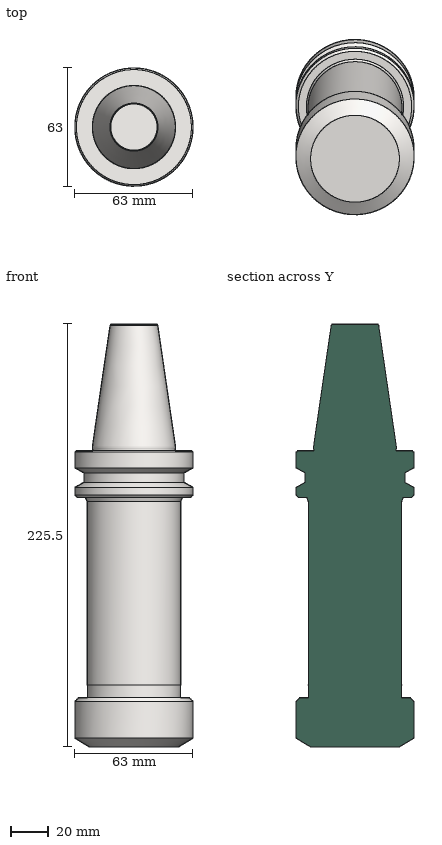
import cadquery as cq

total_length = 225.5

gauge_radius = 44.5 / 2
taper_length = 65.4
taper_per_side = 7 / 48
tip_chamfer_height = 1.0
tip_chamfer_width = 0.5
relief_depth = 0.11
relief_length = 2.0
relief_land = 0.7
relief_slope = 0.7

flange_radius = 63.0 / 2
flange_top_chamfer = 1.0
upper_rim_length = 9.2
groove_radius = 53.5 / 2
groove_flank_length = 2.7
groove_floor_length = 5.0
flange_length = 25.0
flange_bottom_chamfer = 1.4

body_radius = 50.0 / 2
collar_radius = 51.8 / 2
collar_length = 2.0
neck_length = 6.8
neck_step = 0.11

nut_radius = 63.0 / 2
nut_length = 26.4
nut_top_chamfer = 2.0
nose_radius = 47.3 / 2
nose_length = 4.7

gauge_z = total_length - taper_length
flange_top_z = gauge_z - relief_length
groove_top_z = flange_top_z - upper_rim_length
floor_top_z = groove_top_z - groove_flank_length
floor_bottom_z = floor_top_z - groove_floor_length
groove_bottom_z = floor_bottom_z - groove_flank_length
flange_bottom_z = flange_top_z - flange_length
neck_top_z = nut_length + neck_length

tip_edge_radius = gauge_radius - (taper_length - tip_chamfer_height) * taper_per_side
relief_radius = gauge_radius - relief_depth
neck_radius = body_radius - neck_step

shank_points = [
    (0, total_length),
    (tip_edge_radius - tip_chamfer_width, total_length),
    (tip_edge_radius, total_length - tip_chamfer_height),
    (gauge_radius, gauge_z),
    (gauge_radius, gauge_z - relief_land),
    (relief_radius, gauge_z - relief_land - relief_slope),
    (relief_radius, flange_top_z),
]
flange_points = [
    (flange_radius - flange_top_chamfer, flange_top_z),
    (flange_radius, flange_top_z - flange_top_chamfer),
    (flange_radius, groove_top_z),
    (groove_radius, floor_top_z),
    (groove_radius, floor_bottom_z),
    (flange_radius, groove_bottom_z),
    (flange_radius, flange_bottom_z + flange_bottom_chamfer),
    (flange_radius - flange_bottom_chamfer, flange_bottom_z),
]
body_points = [
    (collar_radius, flange_bottom_z),
    (body_radius, flange_bottom_z - collar_length),
    (body_radius, neck_top_z),
    (neck_radius, neck_top_z),
    (neck_radius, nut_length),
]
nut_points = [
    (nut_radius - nut_top_chamfer, nut_length),
    (nut_radius, nut_length - nut_top_chamfer),
    (nut_radius, nose_length),
    (nose_radius, 0),
    (0, 0),
]

half_profile = cq.Workplane("XZ").polyline(shank_points + flange_points + body_points + nut_points).close()
result = half_profile.revolve(360, (0, 0, 0), (0, 1, 0))